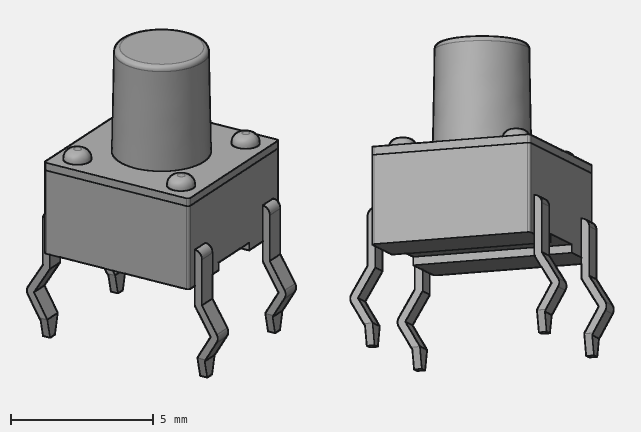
import cadquery as cq
import math


TOTAL_HEIGHT = 11.0
TOTAL_LENGTH = 7.9

BODY_WIDTH = 6.0
CORNER_RADIUS = 0.1
HOUSING_BOTTOM = 3.5
COVER_TOP = 7.0
COVER_THICKNESS = 0.3
COVER_BOTTOM = COVER_TOP - COVER_THICKNESS

SLOT_WIDTH = 2.0
SLOT_DEPTH = 0.3

DOME_DIAMETER = 1.0
DOME_HEIGHT = 0.4
DOME_EDGE_RADIUS = 0.36
DOME_OFFSET = 2.15

BUTTON_DIAMETER = 3.5
BUTTON_DRAFT = 1.1
BUTTON_EDGE_RADIUS = 0.2

LEAD_THICKNESS = 0.3
LEAD_WIDTH = 0.7
LEAD_TIP_WIDTH = 0.33
LEAD_OFFSET_Y = 2.25
LEAD_TOP = 4.9
BEND_X = BODY_WIDTH / 2
BEND_Z = 2.74
ELBOW_X = TOTAL_LENGTH / 2 - LEAD_THICKNESS
ELBOW_Z = 1.69
TIP_X = 3.1
TIP_Z = 0.77
UPPER_SLOPE = math.atan2(ELBOW_X - BEND_X, BEND_Z - ELBOW_Z)
LOWER_SLOPE = math.atan2(ELBOW_X - TIP_X, ELBOW_Z - TIP_Z)


def square_block(bottom, top):
    """Square block of the body width with rounded vertical edges."""
    return (
        cq.Workplane("XY")
        .workplane(offset=bottom)
        .rect(BODY_WIDTH, BODY_WIDTH)
        .extrude(top - bottom)
        .edges("|Z")
        .fillet(CORNER_RADIUS)
    )


def make_housing():
    """Housing block with the slot cut through its underside."""
    slot = (
        cq.Workplane("XY")
        .workplane(offset=HOUSING_BOTTOM)
        .rect(BODY_WIDTH, SLOT_WIDTH)
        .extrude(SLOT_DEPTH)
    )
    return square_block(HOUSING_BOTTOM, COVER_BOTTOM).cut(slot)


def make_cover():
    """Cover plate with a rounded dome near each corner."""
    domes = (
        cq.Workplane("XY")
        .workplane(offset=COVER_TOP)
        .rect(2 * DOME_OFFSET, 2 * DOME_OFFSET, forConstruction=True)
        .vertices()
        .circle(DOME_DIAMETER / 2)
        .extrude(DOME_HEIGHT)
        .faces(">Z")
        .edges()
        .fillet(DOME_EDGE_RADIUS)
    )
    return square_block(COVER_BOTTOM, COVER_TOP).union(domes)


def make_button():
    """Slightly tapered round button with a rounded top edge."""
    return (
        cq.Workplane("XY")
        .workplane(offset=COVER_TOP)
        .circle(BUTTON_DIAMETER / 2)
        .extrude(TOTAL_HEIGHT - COVER_TOP, taper=BUTTON_DRAFT)
        .faces(">Z")
        .edges()
        .fillet(BUTTON_EDGE_RADIUS)
    )


def make_lead():
    """Lead on the +X side, centred on Y = 0."""
    bend_outer = (BEND_X + LEAD_THICKNESS, BEND_Z + LEAD_THICKNESS * math.tan(UPPER_SLOPE / 2))
    tip_outer = (TIP_X + LEAD_THICKNESS, TIP_Z - LEAD_THICKNESS * math.tan(LOWER_SLOPE / 2))

    def elbow_outer(angle):
        """Point on the elbow's outer arc, at an angle above the X direction."""
        return (
            ELBOW_X + LEAD_THICKNESS * math.cos(angle),
            ELBOW_Z + LEAD_THICKNESS * math.sin(angle),
        )

    strip = (
        cq.Workplane("XZ")
        .moveTo(TIP_X, 0)
        .lineTo(TIP_X, TIP_Z)
        .lineTo(ELBOW_X, ELBOW_Z)
        .lineTo(BEND_X, BEND_Z)
        .lineTo(BEND_X, LEAD_TOP)
        .radiusArc((BEND_X + LEAD_THICKNESS, LEAD_TOP - LEAD_THICKNESS), LEAD_THICKNESS)
        .lineTo(*bend_outer)
        .lineTo(*elbow_outer(UPPER_SLOPE))
        .threePointArc(elbow_outer(0), elbow_outer(-LOWER_SLOPE))
        .lineTo(*tip_outer)
        .lineTo(TIP_X + LEAD_THICKNESS, 0)
        .close()
        .extrude(LEAD_WIDTH / 2, both=True)
    )
    width_outline = (
        cq.Workplane("YZ")
        .moveTo(-LEAD_TIP_WIDTH / 2, 0)
        .lineTo(LEAD_TIP_WIDTH / 2, 0)
        .lineTo(LEAD_WIDTH / 2, TIP_Z)
        .lineTo(LEAD_WIDTH / 2, LEAD_TOP)
        .lineTo(-LEAD_WIDTH / 2, LEAD_TOP)
        .lineTo(-LEAD_WIDTH / 2, TIP_Z)
        .close()
        .extrude(ELBOW_X + LEAD_THICKNESS)
    )
    return strip.intersect(width_outline)


def make_leads():
    """One lead near each end of both X sides."""
    right_lead = make_lead()
    leads = []
    for side_lead in (right_lead, right_lead.mirror("YZ")):
        for y in (-LEAD_OFFSET_Y, LEAD_OFFSET_Y):
            leads.append(side_lead.translate((0, y, 0)).solids().val())
    return leads


housing = make_housing().solids()
cover = make_cover().solids()
button = make_button().solids()
leads = make_leads()

result = cq.Compound.makeCompound([housing.val(), cover.val(), button.val(), *leads])